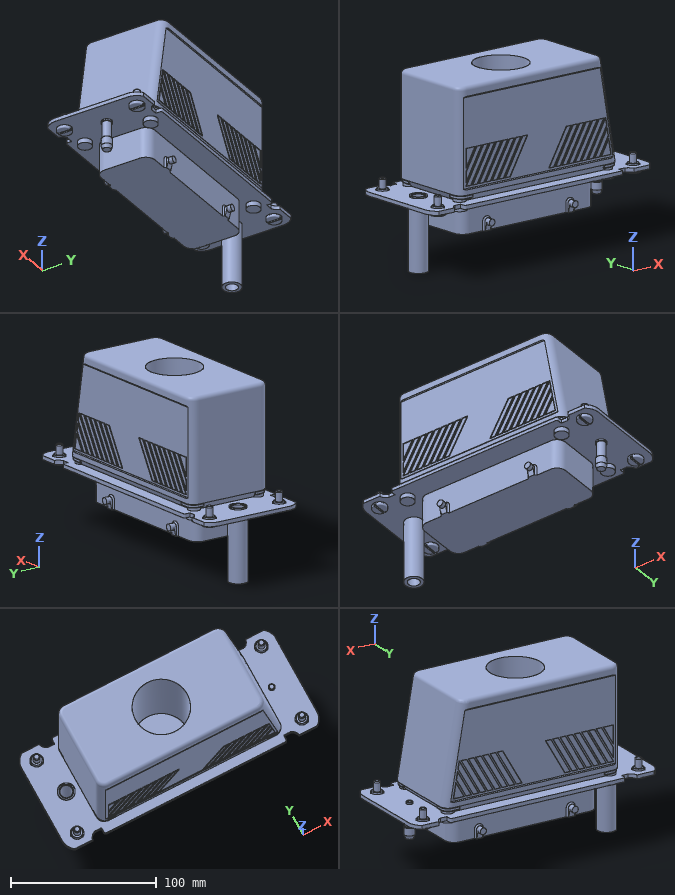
import cadquery as cq
import math


PLATE_LENGTH = 198.0
PLATE_WIDTH = 78.0
PLATE_THICKNESS = 3.0
NOTCH_INNER_X = 70.9
NOTCH_FLOOR_X = 76.0
NOTCH_OUTER_X = 80.2
NOTCH_DEPTH = 4.8
NOTCH_ARC_RADIUS = 6.0
NOTCH_LIP_RADIUS = 1.5

SCREW_X = 87.3
SCREW_Y = 29.5
SCREW_HEAD_DIAMETER = 11.0
SCREW_HEAD_HEIGHT = 2.5
SCREW_HEAD_FILLET = 0.5
SCREW_SLOT_WIDTH = 1.4
SCREW_SLOT_DEPTH = 1.2
SCREW_COLLAR_DIAMETER = 7.7
SCREW_COLLAR_TOP = 1.0
SCREW_STUD_DIAMETER = 5.0
SCREW_STUD_TOP = 8.3
SCREW_STUD_CHAMFER = 0.7
SCREW_HOLE_DIAMETER = 9.3

TUBE_X = -80.0
TUBE_DIAMETER = 14.0
TUBE_COLLAR_DIAMETER = 12.3
TUBE_COLLAR_TOP = 1.0
TUBE_BORE_DIAMETER = 9.0
TUBE_BORE_CHAMFER = 0.5
TUBE_BOTTOM = -53.0

PIN_X = 79.5
PIN_TOP = 1.8
PIN_TOP_RADIUS = 2.28
PIN_TOP_CHAMFER = 0.5
PIN_COLLAR_RADIUS = 4.0
PIN_COLLAR_BOTTOM = -4.2
PIN_SHANK_RADIUS = 3.4
PIN_SHANK_BOTTOM = -17.0
PIN_HEAD_RADIUS = 4.0
PIN_HEAD_BOTTOM = -22.5
PIN_TIP_RADIUS = 3.0
PIN_BOTTOM = -25.5

HOOD_TOP = 82.2
HOOD_BOTTOM = 5.0
HOOD_BACK_X = -71.0
HOOD_FRONT_X = 71.9
HOOD_SLOPE = 10.0
HOOD_WIDTH = 66.3
HOOD_CORNER_RADIUS = 6.7
HOOD_TOP_FILLET = 3.0
CABLE_HOLE_X = -6.1
CABLE_HOLE_DIAMETER = 40.0
PANEL_DEPTH = 0.5
PANEL_BOTTOM = 9.5
PANEL_TOP = 74.5
PANEL_LEDGE_HEIGHT = 0.8

STRIPE_BAND_BOTTOM = 11.3
STRIPE_BAND_TOP = 38.2
STRIPE_BAND_BACK_X = -64.7
STRIPE_BAND_FRONT_X = 64.7
STRIPE_ANGLE = 60.0
STRIPE_PITCH = 5.85
STRIPE_WIDTH = 4.4
STRIPE_COUNT = 9
BACK_STRIPES_END_X = -25.5
FRONT_STRIPES_START_X = 9.3

SKIRT_TAPER = 40.0
FOOT_INSET = 0.5
FOOT_LENGTH = 12.7
FOOT_WIDTH = 11.3
FOOT_BOTTOM = 1.8
FOOT_CHAMFER = 0.8
BOSS_X = 65.5
BOSS_Y = 26.7
BOSS_DIAMETER = 10.3
BOSS_NECK_DIAMETER = 9.1
BOSS_BOTTOM = -6.5

BODY_LENGTH = 120.0
BODY_WIDTH = 43.8
BODY_CORNER_RADIUS = 7.3
BODY_BOTTOM = -27.0

LUG_X = 37.2
LUG_PIN_Z = -20.4
LUG_PIN_DIAMETER = 5.0
LUG_REACH_Y = 27.7
LUG_ARCH_WIDTH = 7.3
LUG_ARCH_DEPTH = 1.09
GUSSET_TOP_Y = 25.0
GUSSET_BOTTOM_Y = 23.4

HALF_WIDTH = PLATE_WIDTH / 2
BODY_SIDE_Y = BODY_WIDTH / 2
HOOD_SIDE_Y = HOOD_WIDTH / 2
PANEL_Y = HOOD_SIDE_Y - PANEL_DEPTH
SLOPE_RATIO = math.tan(math.radians(HOOD_SLOPE))


def cylinder(x, y, diameter, bottom, top):
    return cq.Workplane("XY", origin=(x, y, bottom)).circle(diameter / 2).extrude(top - bottom)


def at_corners(x, y):
    return [(sx * x, sy * y) for sx in (-1, 1) for sy in (-1, 1)]


def with_side_mirror(shape):
    return shape.union(shape.mirror("XZ"))


def make_plate():
    """Plate with rounded corners and a stepped notch near each corner."""
    corner_radius = PLATE_LENGTH / 2 - SCREW_X
    corner_x = SCREW_X + math.sqrt(corner_radius**2 - (HALF_WIDTH - SCREW_Y) ** 2)
    middle_angle = math.atan2(HALF_WIDTH - SCREW_Y, corner_x - SCREW_X) / 2
    corner_middle = (
        SCREW_X + corner_radius * math.cos(middle_angle),
        SCREW_Y + corner_radius * math.sin(middle_angle),
    )
    notch_y = HALF_WIDTH - NOTCH_DEPTH
    quarter = (
        cq.Workplane("XY", origin=(0, 0, -PLATE_THICKNESS))
        .lineTo(PLATE_LENGTH / 2, 0)
        .lineTo(PLATE_LENGTH / 2, SCREW_Y)
        .threePointArc(corner_middle, (corner_x, HALF_WIDTH))
        .lineTo(NOTCH_OUTER_X, HALF_WIDTH)
        .radiusArc((NOTCH_FLOOR_X, notch_y), NOTCH_ARC_RADIUS)
        .lineTo(NOTCH_INNER_X, notch_y)
        .lineTo(NOTCH_INNER_X, HALF_WIDTH - NOTCH_LIP_RADIUS)
        .radiusArc((NOTCH_INNER_X - NOTCH_LIP_RADIUS, HALF_WIDTH), -NOTCH_LIP_RADIUS)
        .lineTo(0, HALF_WIDTH)
        .close()
        .extrude(PLATE_THICKNESS)
    )
    half = with_side_mirror(quarter)
    plate = half.union(half.mirror("YZ"))
    for x, y in at_corners(SCREW_X, SCREW_Y):
        plate = plate.cut(cylinder(x, y, SCREW_HOLE_DIAMETER, -PLATE_THICKNESS, 0))
    return plate


def make_screw(x, y):
    """Slotted screw whose stud points up through the plate."""
    head_bottom = -PLATE_THICKNESS - SCREW_HEAD_HEIGHT
    head = cylinder(x, y, SCREW_HEAD_DIAMETER, head_bottom, -PLATE_THICKNESS)
    head = head.faces("<Z").edges().fillet(SCREW_HEAD_FILLET)
    slot = cq.Workplane("XY", origin=(x, y, head_bottom)).rect(SCREW_SLOT_WIDTH, SCREW_HEAD_DIAMETER)
    head = head.cut(slot.extrude(SCREW_SLOT_DEPTH))
    collar = cylinder(x, y, SCREW_COLLAR_DIAMETER, -PLATE_THICKNESS, SCREW_COLLAR_TOP)
    stud = cylinder(x, y, SCREW_STUD_DIAMETER, -PLATE_THICKNESS, SCREW_STUD_TOP)
    stud = stud.faces(">Z").edges().chamfer(SCREW_STUD_CHAMFER)
    return head.union(collar).union(stud)


def make_hood():
    """Hood block with one sloped end, recessed side panels and a cable hole."""
    height = HOOD_TOP - HOOD_BOTTOM
    hood = (
        cq.Workplane("XZ")
        .moveTo(HOOD_BACK_X, HOOD_BOTTOM)
        .lineTo(HOOD_FRONT_X, HOOD_BOTTOM)
        .lineTo(HOOD_FRONT_X - height * SLOPE_RATIO, HOOD_TOP)
        .lineTo(HOOD_BACK_X, HOOD_TOP)
        .close()
        .extrude(HOOD_SIDE_Y, both=True)
    )
    upright_edges = hood.faces("<X or >X").edges("not |Y")
    hood = upright_edges.fillet(HOOD_CORNER_RADIUS)
    hood = hood.faces(">Z").edges().fillet(HOOD_TOP_FILLET)

    panel = (
        cq.Workplane("YZ")
        .moveTo(PANEL_Y, PANEL_BOTTOM)
        .lineTo(HOOD_SIDE_Y, PANEL_BOTTOM - PANEL_LEDGE_HEIGHT)
        .lineTo(HOOD_SIDE_Y, PANEL_TOP + PANEL_LEDGE_HEIGHT)
        .lineTo(PANEL_Y, PANEL_TOP)
        .close()
        .extrude(PLATE_LENGTH / 2, both=True)
    )
    hood = hood.cut(with_side_mirror(panel))
    return hood.cut(cylinder(CABLE_HOLE_X, 0, CABLE_HOLE_DIAMETER, HOOD_BOTTOM, HOOD_TOP))


def make_stripes():
    """Slanted ribs on the side panels, clipped to a band; the last of each row fills its corner."""
    band_height = STRIPE_BAND_TOP - STRIPE_BAND_BOTTOM
    lean = band_height / math.tan(math.radians(STRIPE_ANGLE))
    panel_plane = cq.Workplane("XZ", origin=(0, -PANEL_Y, 0))
    band = panel_plane.polyline([
        (STRIPE_BAND_BACK_X, STRIPE_BAND_BOTTOM),
        (STRIPE_BAND_FRONT_X, STRIPE_BAND_BOTTOM),
        (STRIPE_BAND_FRONT_X - band_height * SLOPE_RATIO, STRIPE_BAND_TOP),
        (STRIPE_BAND_BACK_X, STRIPE_BAND_TOP),
    ]).close().extrude(PANEL_DEPTH)

    ribs = cq.Workplane("XY")
    for index in range(STRIPE_COUNT):
        is_last = index == STRIPE_COUNT - 1
        width = 2 * STRIPE_PITCH if is_last else STRIPE_WIDTH
        offset = index * STRIPE_PITCH
        for left in (BACK_STRIPES_END_X - width - offset, FRONT_STRIPES_START_X + offset):
            right = left + width
            rib = panel_plane.polyline([
                (left, STRIPE_BAND_BOTTOM),
                (right, STRIPE_BAND_BOTTOM),
                (right + lean, STRIPE_BAND_TOP),
                (left + lean, STRIPE_BAND_TOP),
            ]).close().extrude(PANEL_DEPTH)
            ribs = ribs.add(rib.intersect(band))
    return with_side_mirror(ribs.combine())


def make_hood_base():
    """Tapered skirt, corner feet and corner bosses joining hood and plate."""
    length = HOOD_FRONT_X - HOOD_BACK_X
    center_x = (HOOD_FRONT_X + HOOD_BACK_X) / 2
    under_hood = cq.Workplane("XY", origin=(center_x, 0, HOOD_BOTTOM))
    outline = cq.Sketch().rect(length, HOOD_WIDTH).vertices().fillet(HOOD_CORNER_RADIUS)
    base = under_hood.placeSketch(outline).extrude(-HOOD_BOTTOM, taper=SKIRT_TAPER)

    feet = (
        under_hood.rect(length - 2 * FOOT_INSET, HOOD_WIDTH - 2 * FOOT_INSET)
        .extrude(FOOT_BOTTOM - HOOD_BOTTOM)
        .edges("|Z")
        .fillet(HOOD_CORNER_RADIUS - FOOT_INSET)
    )
    feet = feet.cut(under_hood.rect(length - 2 * FOOT_LENGTH, HOOD_WIDTH).extrude(-HOOD_BOTTOM))
    feet = feet.cut(under_hood.rect(length, HOOD_WIDTH - 2 * FOOT_WIDTH).extrude(-HOOD_BOTTOM))
    base = base.union(feet.faces("<Z").edges().chamfer(FOOT_CHAMFER))

    for x, y in at_corners(BOSS_X, BOSS_Y):
        base = base.union(cylinder(x, y, BOSS_NECK_DIAMETER, -PLATE_THICKNESS, HOOD_BOTTOM))
        base = base.union(cylinder(x, y, BOSS_DIAMETER, BOSS_BOTTOM, -PLATE_THICKNESS))
    return base


def make_lug(x):
    """Latch pin on the -Y side with an arched base and a sloping gusset."""
    body_plane = cq.Workplane("XZ", origin=(x, -BODY_SIDE_Y, 0))
    radius = LUG_ARCH_WIDTH / 2
    arch = (
        body_plane.moveTo(-radius, BODY_BOTTOM - radius)
        .lineTo(radius, BODY_BOTTOM - radius)
        .lineTo(radius, LUG_PIN_Z)
        .threePointArc((0, LUG_PIN_Z + radius), (-radius, LUG_PIN_Z))
        .close()
        .extrude(LUG_ARCH_DEPTH, taper=45)
    )
    below_body = cq.Workplane("XY", origin=(x, -BODY_SIDE_Y, BODY_BOTTOM))
    arch = arch.cut(below_body.rect(2 * LUG_ARCH_WIDTH, 2 * LUG_ARCH_WIDTH).extrude(-LUG_ARCH_WIDTH))
    pin = body_plane.center(0, LUG_PIN_Z).circle(LUG_PIN_DIAMETER / 2).extrude(LUG_REACH_Y - BODY_SIDE_Y)
    gusset = cq.Workplane("YZ", origin=(x, 0, 0)).polyline([
        (-BODY_SIDE_Y, LUG_PIN_Z),
        (-GUSSET_TOP_Y, LUG_PIN_Z),
        (-GUSSET_BOTTOM_Y, BODY_BOTTOM),
        (-BODY_SIDE_Y, BODY_BOTTOM),
    ]).close().extrude(LUG_PIN_DIAMETER / 2, both=True)
    return arch.union(pin).union(gusset)


def make_body():
    """Insert body with four latch lugs."""
    body = (
        cq.Workplane("XY", origin=(0, 0, BODY_BOTTOM))
        .rect(BODY_LENGTH, BODY_WIDTH)
        .extrude(-PLATE_THICKNESS - BODY_BOTTOM)
        .edges("|Z")
        .fillet(BODY_CORNER_RADIUS)
    )
    for x in (-LUG_X, LUG_X):
        body = body.union(with_side_mirror(make_lug(x)))
    return body


def make_guide_pin():
    """Turned pin hanging from the plate, with a tapered tip."""
    shoulder = PIN_HEAD_RADIUS - PIN_SHANK_RADIUS
    profile = [
        (0, PIN_TOP),
        (PIN_TOP_RADIUS - PIN_TOP_CHAMFER, PIN_TOP),
        (PIN_TOP_RADIUS, PIN_TOP - PIN_TOP_CHAMFER),
        (PIN_TOP_RADIUS, -PLATE_THICKNESS),
        (PIN_COLLAR_RADIUS, -PLATE_THICKNESS),
        (PIN_COLLAR_RADIUS, PIN_COLLAR_BOTTOM),
        (PIN_SHANK_RADIUS, PIN_COLLAR_BOTTOM),
        (PIN_SHANK_RADIUS, PIN_SHANK_BOTTOM + shoulder),
        (PIN_HEAD_RADIUS, PIN_SHANK_BOTTOM),
        (PIN_HEAD_RADIUS, PIN_HEAD_BOTTOM),
        (PIN_TIP_RADIUS, PIN_BOTTOM),
        (0, PIN_BOTTOM),
    ]
    pin = cq.Workplane("XZ").polyline(profile).close().revolve(360, (0, 0, 0), (0, 1, 0))
    return pin.translate((PIN_X, 0, 0))


def add_guide_tube(part):
    """Tube hanging from the plate, bored through tube and plate."""
    tube = cylinder(TUBE_X, 0, TUBE_DIAMETER, TUBE_BOTTOM, -PLATE_THICKNESS)
    collar = cylinder(TUBE_X, 0, TUBE_COLLAR_DIAMETER, -PLATE_THICKNESS, TUBE_COLLAR_TOP)
    bore = cylinder(TUBE_X, 0, TUBE_BORE_DIAMETER, TUBE_BOTTOM, TUBE_COLLAR_TOP)
    part = part.union(tube).union(collar).cut(bore)
    mouth_radius = TUBE_BORE_DIAMETER / 2 + TUBE_BORE_CHAMFER
    mouth = cq.Workplane("XY", origin=(TUBE_X, 0, TUBE_COLLAR_TOP)).circle(mouth_radius)
    return part.cut(mouth.extrude(-TUBE_BORE_CHAMFER, taper=45))


result = make_plate().union(make_body()).union(make_hood_base())
result = result.union(make_hood()).union(make_stripes())
result = result.union(make_guide_pin())
for screw_x, screw_y in at_corners(SCREW_X, SCREW_Y):
    result = result.union(make_screw(screw_x, screw_y))
result = add_guide_tube(result)